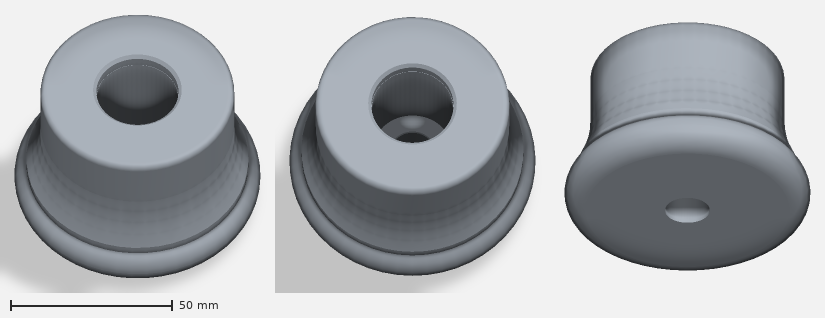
import cadquery as cq
import math

height = 50.8
base_radius = 38.1

bead_radius = 6.5
hub_radius = 19.05
hub_top = 35.2
floor_z = 2 * bead_radius
through_radius = 6.9
through_chamfer = 0.3

top_radius = 30.0
foot_radius = 34.4
foot_top = 15.1
flare_top = 33.2
top_fillet = 2.0

bore_radius = 12.65
bore_chamfer = 1.0
relief_depth = 4.05
relief_step = 0.1

bead_center_radius = base_radius - bead_radius
seat_z = bead_radius + math.sqrt(bead_radius**2 - (foot_radius - bead_center_radius) ** 2)

flare_width = foot_radius - top_radius
flare_height = flare_top - foot_top
flare_radius = (flare_width**2 + flare_height**2) / (2 * flare_width)
flare_half_angle = math.asin(flare_height / flare_radius) / 2
flare_middle = (
    top_radius + flare_radius * (1 - math.cos(flare_half_angle)),
    flare_top - flare_radius * math.sin(flare_half_angle),
)


def cylinder(radius, bottom, top):
    return cq.Workplane("XY").workplane(offset=bottom).circle(radius).extrude(top - bottom)


def revolve_about_z(profile):
    return profile.close().revolve(360, (0, 0, 0), (0, 1, 0))


def make_base():
    disc = revolve_about_z(
        cq.Workplane("XZ")
        .lineTo(bead_center_radius, 0)
        .radiusArc((base_radius, bead_radius), -bead_radius)
        .radiusArc((foot_radius, seat_z), -bead_radius)
        .lineTo(0, seat_z)
    )
    body = disc.union(cylinder(hub_radius, seat_z, hub_top))
    body = body.cut(cylinder(bore_radius, floor_z, hub_top))
    through_hole = revolve_about_z(
        cq.Workplane("XZ")
        .lineTo(through_radius, 0)
        .lineTo(through_radius, floor_z - through_chamfer)
        .lineTo(through_radius + through_chamfer, floor_z)
        .lineTo(0, floor_z)
    )
    return body.cut(through_hole)


def make_housing():
    body = revolve_about_z(
        cq.Workplane("XZ")
        .moveTo(0, seat_z)
        .lineTo(foot_radius, seat_z)
        .lineTo(foot_radius, foot_top)
        .threePointArc(flare_middle, (top_radius, flare_top))
        .lineTo(top_radius, height)
        .lineTo(0, height)
    )
    body = body.faces(">Z").edges().fillet(top_fillet)
    body = body.cut(cylinder(hub_radius, seat_z, hub_top))
    body = body.cut(cylinder(bore_radius, hub_top, height))
    body = body.cut(cylinder(bore_radius + relief_step, height - relief_depth, height))
    return body.faces(">Z").edges("%CIRCLE").edges(cq.selectors.RadiusNthSelector(0)).chamfer(bore_chamfer)


base = make_base()
housing = make_housing()
result = cq.Compound.makeCompound([base.val(), housing.val()])